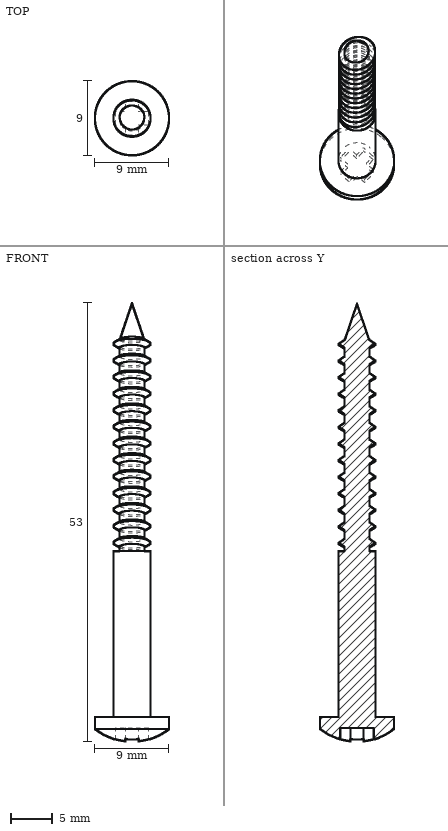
import cadquery as cq
import math

total_length = 53.0
head_diameter = 9.0
rim_height = 1.5
dome_height = 1.5
recess_length = 4.0
recess_width = 1.6
recess_depth = 1.6
shank_diameter = 4.5
shank_top = 23.0
core_diameter = 3.05
tip_length = 4.55

ridge_count = 13
first_ridge_z = 24.0
last_ridge_z = 48.05
ridge_tilt = 16.0
ridge_root_half_width = 0.5
ridge_pitch = (last_ridge_z - first_ridge_z) / (ridge_count - 1)

head_radius = head_diameter / 2
shank_radius = shank_diameter / 2
core_radius = core_diameter / 2
head_height = rim_height + dome_height
tip_base_z = total_length - tip_length

recess_corner_radius = recess_width / math.sqrt(2)
sphere_center_z = (head_radius**2 + dome_height**2 - recess_corner_radius**2) / (2 * dome_height)
sphere_radius = math.hypot(recess_corner_radius, sphere_center_z)
crown_z = sphere_center_z - sphere_radius

dome_half_angle = math.asin(head_radius / sphere_radius) / 2
dome_mid_radius = sphere_radius * math.sin(dome_half_angle)
dome_mid_z = sphere_center_z - sphere_radius * math.cos(dome_half_angle)


def make_body():
    """Domed head, plain shank, thread core and conical tip as one turned profile."""
    return (
        cq.Workplane("XZ")
        .moveTo(0, crown_z)
        .threePointArc((dome_mid_radius, dome_mid_z), (head_radius, dome_height))
        .lineTo(head_radius, head_height)
        .lineTo(shank_radius, head_height)
        .lineTo(shank_radius, shank_top)
        .lineTo(core_radius, shank_top)
        .lineTo(core_radius, tip_base_z)
        .lineTo(0, total_length)
        .close()
        .revolve(360, (0, 0, 0), (0, 1, 0))
    )


def make_ridge(center_z):
    """Sharp-crested ring whose -Y side is raised by the tilt."""
    flank_slope = ridge_root_half_width / (shank_radius - core_radius)
    axis_half_width = flank_slope * shank_radius
    return (
        cq.Workplane("XZ")
        .moveTo(0, -axis_half_width)
        .lineTo(shank_radius, 0)
        .lineTo(0, axis_half_width)
        .close()
        .revolve(360, (0, 0, 0), (0, 1, 0))
        .rotate((0, 0, 0), (1, 0, 0), -ridge_tilt)
        .translate((0, 0, center_z))
    )


def make_recess():
    """Cross-shaped driver recess, reaching up into the head from the crown."""
    height = recess_depth - crown_z
    arms = cq.Workplane("XY", origin=(0, 0, crown_z))
    along_x = arms.rect(recess_length, recess_width).extrude(height)
    along_y = arms.rect(recess_width, recess_length).extrude(height)
    return along_x.union(along_y)


result = make_body().cut(make_recess())
for index in range(ridge_count):
    result = result.union(make_ridge(first_ridge_z + index * ridge_pitch))